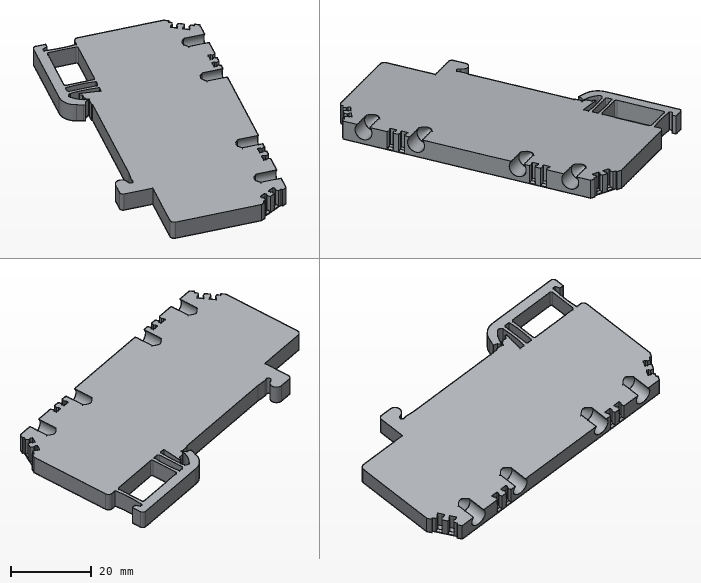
import cadquery as cq
import math

length = 77.7
width = 42.3
thickness = 5.1
half_length = length / 2
half_thickness = thickness / 2
top_y = width / 2
bottom_y = -width / 2

body_bottom_y = -10.4
body_corner_radius = 1.2
shoulder_x = 34.3
slope_angle = 60.0
slope_drop = (half_length - shoulder_x) * math.tan(math.radians(slope_angle))
slope_length = math.hypot(half_length - shoulder_x, slope_drop)

recess_margin = 1.3
recess_depth = 0.505

rail_y = -14.15
rail_lip_y = rail_y - 0.2
rail_left_x = -12.3
rail_right_x = 16.55

latch_lip_step_x = -12.4
latch_lip_x = -14.15
latch_notch_top = (-14.6, rail_y)
latch_notch_bottom = (-14.85, -14.9)
latch_ledge_y = -15.3
latch_ledge_right_x = -15.55
latch_ledge_left_x = -16.7
tooth_tip_y = -16.0
tooth_tip_right_x = -17.0
tooth_tip_left_x = -17.5
tooth_root_x = -16.8

foot_right_x = 24.2
foot_bottom_y = -18.8
foot_corner_radius = 0.9
foot_toe_radius = 1.6
foot_toe_x = 20.1
foot_toe_y = foot_bottom_y + foot_toe_radius
foot_toe_end_angle = math.radians(110)
undercut_radius = 0.6
undercut_x = 19.9
undercut_y = -14.85
undercut_lip_x = 19.2

spring_top_y = -18.4
spring_corner_radius = 0.9
hook_radius = 4.35
hook_x = -17.6
hook_y = bottom_y + hook_radius
hook_turn = math.radians(74)
hook_shank_end = (-12.9, -16.3)
hook_outer_corner = (-12.75, -15.85)
hook_barb = (-13.8, -15.5)
hook_tip = (-14.45, -14.5)
hook_inner_start = (-14.85, -15.55)
hook_inner_middle = (-15.7, -17.25)
hook_inner_end = (-16.85, -18.5)
hook_root_middle = (-17.55, -18.65)
hook_root_y = -18.0
catch_top_y = -17.6
catch_top_x = -37.8
catch_floor_x = -37.2
catch_floor_y = -18.9

leg_bow = 0.2
leg_1 = (-36.45, -35.4)
leg_2 = (-21.7, -20.75)
leg_3 = (-19.1, -18.2)
window_corner_radius = 0.5
corner_tolerance = 0.1

groove_positions = (14.1, 28.6)
groove_radius = 2.3
groove_length = 5.4
groove_tip_length = 3.3
groove_axis_depth = 1.55

notch_spacing = 3.1
notch_pair_x = 19.65
notch_depth = 1.9
notch_mouth_width = 1.6
notch_neck_width = 1.1
notch_head_width = 1.7
notch_neck_depth = 0.85
notch_head_depth = 1.25
notch_ramp_depth = 0.6
notch_floor_z = -half_thickness + 0.6
notch_mouth_z = -half_thickness + 0.2


def plate(outline):
    """Extrude a closed XY outline through the full thickness."""
    return outline.close().extrude(half_thickness, both=True)


def housing():
    """Main plate with sloped shoulders."""
    outline = cq.Workplane("XY").polyline([
        (-shoulder_x, top_y),
        (shoulder_x, top_y),
        (half_length, top_y - slope_drop),
        (half_length, body_bottom_y),
        (-half_length, body_bottom_y),
        (-half_length, top_y - slope_drop),
    ])
    return plate(outline).edges("|Z and <Y").fillet(body_corner_radius)


def rail_block():
    """Lower block with the latch tooth, the rail seat and the fixed foot."""
    outline = (
        cq.Workplane("XY")
        .moveTo(foot_right_x, body_bottom_y)
        .lineTo(foot_right_x, foot_bottom_y + foot_corner_radius)
        .radiusArc((foot_right_x - foot_corner_radius, foot_bottom_y), foot_corner_radius)
        .lineTo(foot_toe_x, foot_bottom_y)
        .threePointArc(
            (foot_toe_x - foot_toe_radius, foot_toe_y),
            (
                foot_toe_x + foot_toe_radius * math.cos(foot_toe_end_angle),
                foot_toe_y + foot_toe_radius * math.sin(foot_toe_end_angle),
            ),
        )
        .lineTo(undercut_x, undercut_y - undercut_radius)
        .threePointArc(
            (undercut_x + undercut_radius, undercut_y),
            (undercut_x, undercut_y + undercut_radius),
        )
        .lineTo(undercut_lip_x, rail_lip_y)
        .lineTo(rail_right_x, rail_y)
        .polyline([
            (rail_left_x, rail_y),
            (latch_lip_step_x, rail_lip_y),
            (latch_lip_x, rail_lip_y),
            latch_notch_top,
            latch_notch_bottom,
            (latch_ledge_right_x, latch_ledge_y),
            (latch_ledge_left_x, latch_ledge_y),
            (tooth_tip_right_x, tooth_tip_y),
            (tooth_tip_left_x, tooth_tip_y),
            (tooth_root_x, body_bottom_y),
        ], includeCurrent=True)
    )
    return plate(outline)


def hook_point(turn):
    """Point on the outer arc of the hook after it has turned away from the bar."""
    return (hook_x + hook_radius * math.sin(turn), hook_y - hook_radius * math.cos(turn))


def spring_foot():
    """Bar with a catch at its left end and a curved hook at its right end."""
    outline = (
        cq.Workplane("XY")
        .moveTo(-half_length, catch_top_y)
        .lineTo(-half_length, bottom_y + spring_corner_radius)
        .radiusArc((-half_length + spring_corner_radius, bottom_y), -spring_corner_radius)
        .lineTo(hook_x, bottom_y)
        .threePointArc(hook_point(hook_turn / 2), hook_point(hook_turn))
        .lineTo(*hook_shank_end)
        .lineTo(*hook_outer_corner)
        .lineTo(*hook_barb)
        .lineTo(*hook_tip)
        .lineTo(*hook_inner_start)
        .threePointArc(hook_inner_middle, hook_inner_end)
        .threePointArc(hook_root_middle, (leg_3[1], hook_root_y))
        .lineTo(leg_3[0], spring_top_y)
        .lineTo(leg_1[0], spring_top_y)
        .lineTo(leg_1[0], catch_floor_y)
        .lineTo(catch_floor_x, catch_floor_y)
        .lineTo(catch_top_x, catch_top_y)
    )
    return plate(outline)


def leg(straight_x, bowed_x, bow):
    """Thin leg with one straight side and one side bowed sideways by bow."""
    middle_y = (body_bottom_y + spring_top_y) / 2
    outline = (
        cq.Workplane("XY")
        .moveTo(straight_x, body_bottom_y)
        .lineTo(straight_x, spring_top_y)
        .lineTo(bowed_x, spring_top_y)
        .threePointArc((bowed_x + bow, middle_y), (bowed_x, body_bottom_y))
    )
    return plate(outline)


def edge_frame(x, y, inward_angle):
    """Workplane on an edge: local X points into the part, local Y runs along the edge."""
    angle = math.radians(inward_angle)
    return cq.Workplane(cq.Plane(
        origin=(x, y, 0),
        xDir=(math.cos(angle), math.sin(angle), 0),
        normal=(0, 0, 1),
    ))


def shoulder_frame(side, depth):
    """Frame at the middle of one sloped shoulder (side -1 left, +1 right), depth below its face."""
    inward_angle = -90 - side * slope_angle
    angle = math.radians(inward_angle)
    middle_x = side * (shoulder_x + half_length) / 2
    middle_y = top_y - slope_drop / 2
    return edge_frame(
        middle_x + depth * math.cos(angle),
        middle_y + depth * math.sin(angle),
        inward_angle,
    )


def shoulder_recess(side):
    """Cutter for the shallow recess along one sloped shoulder."""
    recess_length = slope_length - 2 * recess_margin
    return (
        shoulder_frame(side, 0)
        .rect(2 * recess_depth, recess_length)
        .extrude(half_thickness, both=True)
    )


def tag_notch(frame, offset):
    """Cutter for a waisted notch with a ramped mouth floor, placed offset along the edge."""
    half_mouth = notch_mouth_width / 2
    half_neck = notch_neck_width / 2
    half_head = notch_head_width / 2
    notch = (
        frame.polyline([
            (0, offset - half_mouth),
            (notch_neck_depth, offset - half_neck),
            (notch_head_depth, offset - half_head),
            (notch_depth, offset - half_head),
            (notch_depth, offset + half_head),
            (notch_head_depth, offset + half_head),
            (notch_neck_depth, offset + half_neck),
            (0, offset + half_mouth),
        ])
        .close()
        .extrude(half_thickness, both=True)
    )
    floor = (
        cq.Workplane(cq.Plane(
            origin=frame.plane.toWorldCoords((0, offset - half_head, 0)),
            xDir=frame.plane.xDir,
            normal=-frame.plane.yDir,
        ))
        .polyline([
            (0, -half_thickness),
            (0, notch_mouth_z),
            (notch_ramp_depth, notch_floor_z),
            (notch_depth, notch_floor_z),
            (notch_depth, -half_thickness),
        ])
        .close()
        .extrude(-notch_head_width)
    )
    return notch.cut(floor)


def probe_groove(x):
    """Cutter for a drilled groove along Y with a conical end, its axis below the top face."""
    cone_y = top_y - groove_length
    profile = (
        cq.Workplane("XY", origin=(x, 0, half_thickness - groove_axis_depth))
        .polyline([
            (0, top_y),
            (groove_radius, top_y),
            (groove_radius, cone_y),
            (0, cone_y - groove_tip_length),
        ])
        .close()
    )
    return profile.revolve(360, (0, 0), (0, 1))


result = (
    housing()
    .union(rail_block())
    .union(spring_foot())
    .union(leg(leg_1[1], leg_1[0], leg_bow))
    .union(leg(leg_2[0], leg_2[1], -leg_bow))
    .union(leg(leg_3[0], leg_3[1], -leg_bow))
)

for corner_x in (leg_1[1], leg_2[0], leg_3[0]):
    for corner_y in (body_bottom_y, spring_top_y):
        corner = cq.selectors.BoxSelector(
            (corner_x - corner_tolerance, corner_y - corner_tolerance, -thickness),
            (corner_x + corner_tolerance, corner_y + corner_tolerance, thickness),
        )
        result = result.edges(corner).edges("|Z").fillet(window_corner_radius)

for side in (-1, 1):
    result = result.cut(shoulder_recess(side))
    for offset in (-notch_spacing / 2, notch_spacing / 2):
        result = result.cut(tag_notch(edge_frame(side * notch_pair_x, top_y, -90), offset))
        result = result.cut(tag_notch(shoulder_frame(side, recess_depth), offset))
    for groove_x in groove_positions:
        result = result.cut(probe_groove(side * groove_x))